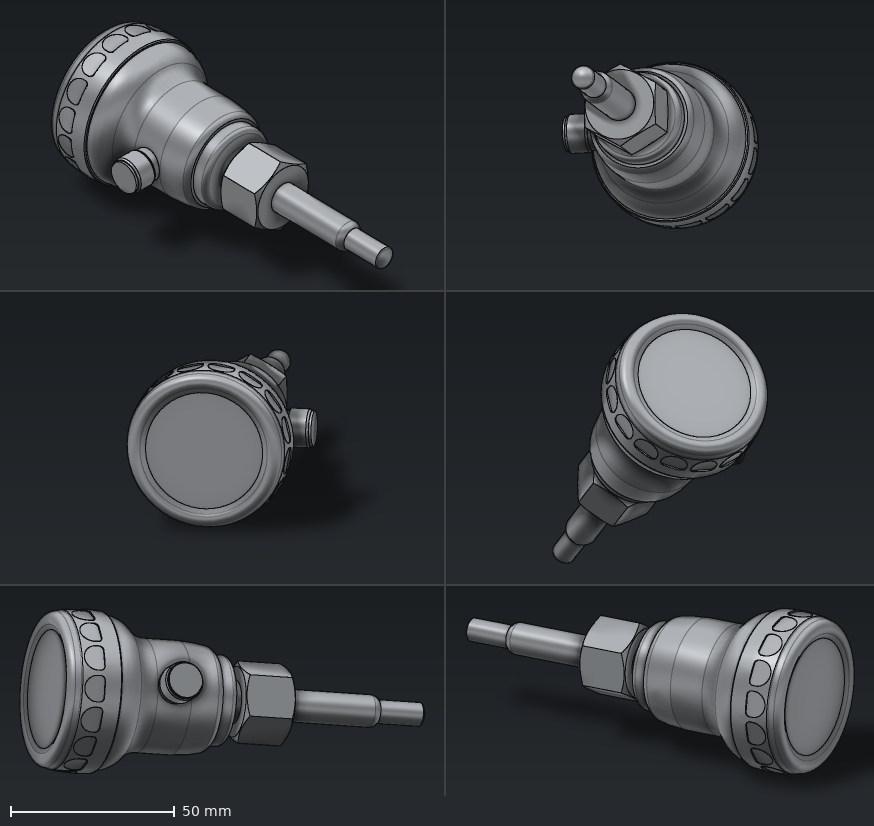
import cadquery as cq
import math


WINDOW_RADIUS = 18.2
WINDOW_X = 1.2
BEAD_INNER_RADIUS = 19.8
BEAD_ROUND = 2.7
BEAD_CENTER_RADIUS = 21.4
BEAD_END_X = 2.0
BEZEL_FRONT_RADIUS = 24.4

CROWN_START_X = 3.9
CROWN_STEP = 0.4
CROWN_PEAK_X = 11.6
CROWN_PEAK_DIAMETER = 50.3
CROWN_PEAK_RADIUS = CROWN_PEAK_DIAMETER / 2
CROWN_ARC_RADIUS = 46.7
CROWN_END_X = 16.5
CROWN_END_CHAMFER = 0.4

GRIP_COUNT = 16
GRIP_TURN = -2.2
GRIP_FLAT_RADIUS = 24.6
GRIP_START_X = 4.8
GRIP_END_X = 11.2
GRIP_WIDTH = 8.1
GRIP_CORNER = 1.5
CUTTER_CLEARANCE = 1.2

BELL_START_RADIUS = 24.0
BELL_MIDDLE_X = 24.5
BELL_MIDDLE_RADIUS = 20.5
BARREL_START_X = 30.9
BARREL_END_X = 42.0
BARREL_RADIUS = 17.6
SHOULDER_X = 50.9
SHOULDER_RADIUS = 16.5
SHOULDER_END_RADIUS = 15.0

COLLAR_START_X = 52.9
COLLAR_END_X = 58.0
COLLAR_RADIUS = 14.0
COLLAR_ROUND = 1.6
NECK_RADIUS = 6.6
NECK_FILLET = 1.5

NUT_SIDES = 6
NUT_START_X = 61.7
NUT_END_X = 77.7
NUT_ACROSS_CORNERS = 25.7
NUT_CORNER_RADIUS = NUT_ACROSS_CORNERS / 2
NUT_CHAMFER_RADIUS = 10.8
NUT_CHAMFER_ANGLE = 30.0

STEM_RADIUS = 5.0
STEM_END_X = 105.7
STEM_NOSE_ROUND = 3.1
TIP_RADIUS = 3.7
TIP_START_X = 107.9
TIP_CHAMFER_X = 121.6
TIP_CHAMFER = 0.4
TOTAL_LENGTH = 123.0

PLUG_X = 36.4
PLUG_NECK_RADIUS = 5.4
PLUG_CAP_RADIUS = 6.0
PLUG_STEP_RADIUS = 5.7
PLUG_CAP_START = 19.5
PLUG_CAP_CHAMFER_START = 20.3
PLUG_CAP_CHAMFER_END = 26.0
PLUG_CAP_END = 26.7
TOTAL_WIDTH = 52.6
PLUG_END = TOTAL_WIDTH - CROWN_PEAK_RADIUS


def level_arc_radius(length, drop):
    """Radius of an arc that starts parallel to the axis and falls by drop over length."""
    return (length**2 + drop**2) / (2 * drop)


def crown_radius(x):
    """Radius of the crowned bezel ring at the given x."""
    sag = CROWN_ARC_RADIUS - math.sqrt(CROWN_ARC_RADIUS**2 - (x - CROWN_PEAK_X) ** 2)
    return CROWN_PEAK_RADIUS - sag


def bead_x(radius):
    """Front surface of the bead at the given distance from the axis."""
    return BEAD_ROUND - math.sqrt(BEAD_ROUND**2 - (radius - BEAD_CENTER_RADIUS) ** 2)


def make_turned_body():
    bead_end_radius = BEAD_CENTER_RADIUS + math.sqrt(BEAD_ROUND**2 - (BEAD_ROUND - BEAD_END_X) ** 2)
    crown_start = CROWN_START_X + CROWN_STEP / 2
    crown_end_radius = crown_radius(CROWN_END_X)
    bell_start_x = CROWN_END_X + CROWN_END_CHAMFER
    bell_radius = level_arc_radius(BELL_MIDDLE_X - bell_start_x, BELL_START_RADIUS - BELL_MIDDLE_RADIUS)
    flare_radius = level_arc_radius(BARREL_START_X - BELL_MIDDLE_X, BELL_MIDDLE_RADIUS - BARREL_RADIUS)
    shoulder_arc = level_arc_radius(SHOULDER_X - BARREL_END_X, BARREL_RADIUS - SHOULDER_RADIUS)
    tip_end_x = TIP_CHAMFER_X + TIP_CHAMFER
    dome_edge = TIP_RADIUS - TIP_CHAMFER
    dome_radius = level_arc_radius(dome_edge, TOTAL_LENGTH - tip_end_x)

    profile = (
        cq.Workplane("XY")
        .moveTo(WINDOW_X, 0)
        .lineTo(WINDOW_X, WINDOW_RADIUS)
        .lineTo(bead_x(BEAD_INNER_RADIUS), BEAD_INNER_RADIUS)
        .threePointArc((0, BEAD_CENTER_RADIUS), (BEAD_END_X, bead_end_radius))
        .lineTo(CROWN_START_X - CROWN_STEP / 2, BEZEL_FRONT_RADIUS)
        .lineTo(crown_start, crown_radius(crown_start))
        .threePointArc((CROWN_PEAK_X, CROWN_PEAK_RADIUS), (CROWN_END_X, crown_end_radius))
        .lineTo(bell_start_x, crown_end_radius - CROWN_END_CHAMFER)
        .lineTo(bell_start_x, BELL_START_RADIUS)
        .radiusArc((BELL_MIDDLE_X, BELL_MIDDLE_RADIUS), bell_radius)
        .radiusArc((BARREL_START_X, BARREL_RADIUS), -flare_radius)
        .lineTo(BARREL_END_X, BARREL_RADIUS)
        .radiusArc((SHOULDER_X, SHOULDER_RADIUS), shoulder_arc)
        .tangentArcPoint((COLLAR_START_X, SHOULDER_END_RADIUS), relative=False)
        .lineTo(COLLAR_START_X, COLLAR_RADIUS)
        .lineTo(COLLAR_END_X - COLLAR_ROUND, COLLAR_RADIUS)
        .radiusArc((COLLAR_END_X, COLLAR_RADIUS - COLLAR_ROUND), COLLAR_ROUND)
        .lineTo(COLLAR_END_X, NECK_RADIUS + NECK_FILLET)
        .radiusArc((COLLAR_END_X + NECK_FILLET, NECK_RADIUS), -NECK_FILLET)
        .lineTo(NUT_START_X, NECK_RADIUS)
        .lineTo(NUT_START_X, STEM_RADIUS)
        .lineTo(STEM_END_X, STEM_RADIUS)
        .radiusArc((TIP_START_X, TIP_RADIUS), STEM_NOSE_ROUND)
        .lineTo(TIP_CHAMFER_X, TIP_RADIUS)
        .lineTo(tip_end_x, dome_edge)
        .radiusArc((TOTAL_LENGTH, 0), dome_radius)
        .close()
    )
    return profile.revolve(360, (0, 0, 0), (1, 0, 0))


def cut_grips(body):
    """Cut D-shaped flats into the crown, each ending in a low step towards the housing."""
    half_width = GRIP_WIDTH / 2
    round_end_x = GRIP_START_X + half_width
    cutter = (
        cq.Workplane("XY")
        .workplane(offset=GRIP_FLAT_RADIUS)
        .moveTo(GRIP_END_X, -half_width)
        .lineTo(GRIP_END_X, half_width)
        .lineTo(round_end_x, half_width)
        .threePointArc((GRIP_START_X, 0), (round_end_x, -half_width))
        .close()
        .extrude(CROWN_PEAK_RADIUS - GRIP_FLAT_RADIUS + CUTTER_CLEARANCE)
        .edges("|Z and >X")
        .fillet(GRIP_CORNER)
    )
    pitch = 360 / GRIP_COUNT
    for index in range(GRIP_COUNT):
        angle = GRIP_TURN + (index + 0.5) * pitch
        body = body.cut(cutter.rotate((0, 0, 0), (1, 0, 0), angle))
    return body


def make_nut():
    """Hexagon prism trimmed at both ends by a cone."""
    length = NUT_END_X - NUT_START_X
    chamfer_rise = NUT_CORNER_RADIUS - NUT_CHAMFER_RADIUS
    chamfer_length = chamfer_rise * math.tan(math.radians(NUT_CHAMFER_ANGLE))
    prism = (
        cq.Workplane("YZ")
        .workplane(offset=NUT_START_X)
        .transformed(rotate=(0, 0, 90))
        .polygon(NUT_SIDES, 2 * NUT_CORNER_RADIUS)
        .extrude(length)
    )
    envelope = (
        cq.Workplane("YZ")
        .workplane(offset=NUT_START_X)
        .circle(NUT_CORNER_RADIUS)
        .extrude(length)
        .edges()
        .chamfer(chamfer_length, chamfer_rise)
    )
    return prism.intersect(envelope)


def make_side_plug():
    """Turned plug with a capped end, pointing along -Y."""
    profile = (
        cq.Workplane("XY")
        .moveTo(PLUG_X, 0)
        .lineTo(PLUG_X + PLUG_NECK_RADIUS, 0)
        .lineTo(PLUG_X + PLUG_NECK_RADIUS, -PLUG_CAP_START)
        .lineTo(PLUG_X + PLUG_STEP_RADIUS, -PLUG_CAP_START)
        .lineTo(PLUG_X + PLUG_CAP_RADIUS, -PLUG_CAP_CHAMFER_START)
        .lineTo(PLUG_X + PLUG_CAP_RADIUS, -PLUG_CAP_CHAMFER_END)
        .lineTo(PLUG_X + PLUG_STEP_RADIUS, -PLUG_CAP_END)
        .lineTo(PLUG_X + PLUG_NECK_RADIUS, -PLUG_CAP_END)
        .lineTo(PLUG_X + PLUG_NECK_RADIUS, -PLUG_END)
        .lineTo(PLUG_X, -PLUG_END)
        .close()
    )
    return profile.revolve(360, (PLUG_X, 0, 0), (PLUG_X, 1, 0))


result = cut_grips(make_turned_body()).union(make_nut()).union(make_side_plug())